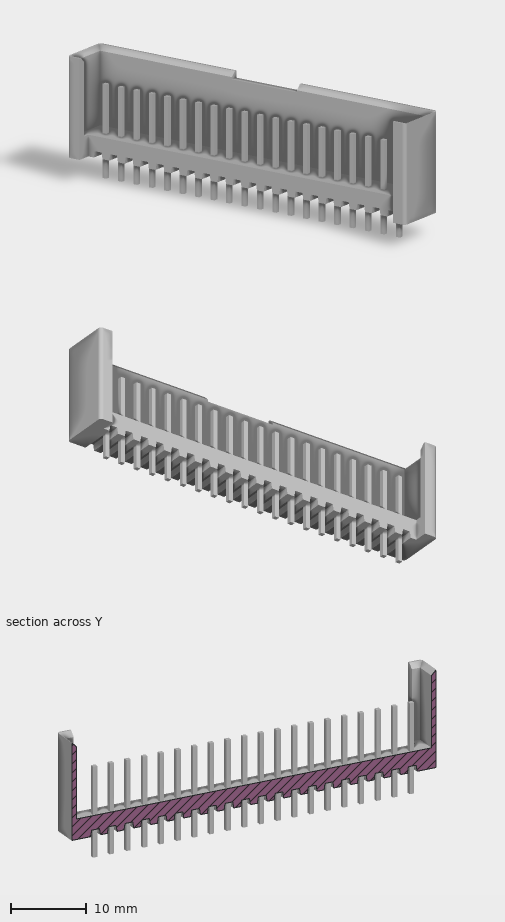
import cadquery as cq

length = 54.7
depth = 7.5
housing_height = 14.0
corner_radius = 0.5

back_thickness = 1.0
end_thickness = 0.75
lip_thickness = 1.0
lip_length = 2.0
floor_thickness = 3.0
front_recess = 2.0

bevel = 0.7

notch_width = 10.5
notch_depth = 1.0

pin_count = 20
pin_pitch = 2.5
pin_size = 0.64
pin_bottom = -3.1
pin_top = 9.9

slot_height = 0.9
slot_top_width = 1.1
slot_mouth_width = 1.4

cavity_back = depth / 2 - back_thickness
cavity_front = -depth / 2 + lip_thickness
cavity_half_length = length / 2 - end_thickness
cavity_length = 2 * cavity_half_length
cavity_depth = cavity_back - cavity_front
cavity_center_y = (cavity_back + cavity_front) / 2
pin_positions = [(i - (pin_count - 1) / 2) * pin_pitch for i in range(pin_count)]


def outer_block():
    block = cq.Workplane("XY").box(length, depth, housing_height, centered=(True, True, False))
    return block.edges("|Z").fillet(corner_radius)


def cavity():
    """Open-topped pocket above the floor."""
    return (
        cq.Workplane("XY", origin=(0, cavity_center_y, floor_thickness))
        .rect(cavity_length, cavity_depth)
        .extrude(housing_height - floor_thickness)
    )


def rim_bevel():
    """45 degree flare at the mouth of the cavity."""
    return (
        cq.Workplane("XY", origin=(0, cavity_center_y, housing_height - bevel))
        .rect(cavity_length, cavity_depth)
        .workplane(offset=bevel)
        .rect(cavity_length + 2 * bevel, cavity_depth + 2 * bevel)
        .loft(ruled=True)
    )


def front_opening():
    """Full-height recess between the two lips."""
    return (
        cq.Workplane("XY", origin=(0, (front_recess - depth) / 2, 0))
        .rect(length - 2 * lip_length, front_recess)
        .extrude(housing_height)
    )


def back_notch():
    return (
        cq.Workplane("XY", origin=(0, depth / 2 - back_thickness / 2, housing_height - notch_depth))
        .rect(notch_width, back_thickness)
        .extrude(notch_depth)
    )


def relief_slot(x):
    """Tapered slot through the full depth of the underside."""
    return (
        cq.Workplane("XZ", origin=(x, depth / 2, 0))
        .moveTo(-slot_mouth_width / 2, 0)
        .lineTo(slot_mouth_width / 2, 0)
        .lineTo(slot_top_width / 2, slot_height)
        .lineTo(-slot_top_width / 2, slot_height)
        .close()
        .extrude(depth)
    )


def pin(x):
    return (
        cq.Workplane("XY", origin=(x, 0, pin_bottom))
        .rect(pin_size, pin_size)
        .extrude(pin_top - pin_bottom)
    )


housing = outer_block().cut(cavity()).cut(rim_bevel()).cut(front_opening()).cut(back_notch())

for pin_x in pin_positions:
    housing = housing.cut(relief_slot(pin_x))
    housing = housing.union(pin(pin_x))

result = housing